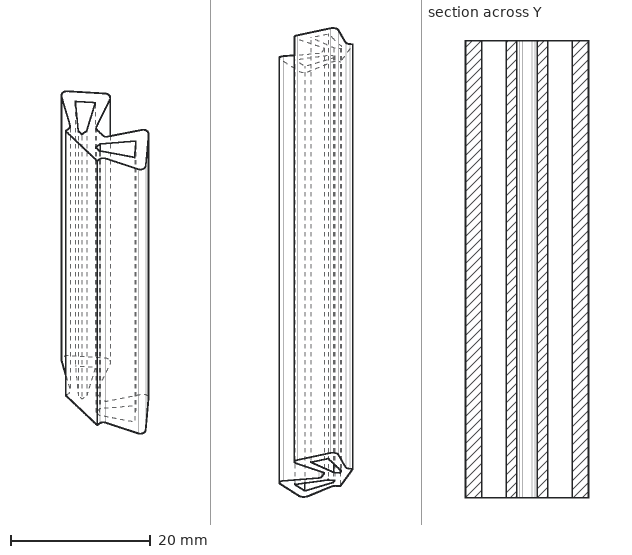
import cadquery as cq
import math

length = 65.5
width = 17.7
foot_width = 6.95
valley_floor = 3.55
tip_radius = 0.8
root_radius = 0.8
valley_radius = 0.5
tip_corner_y = 4.0
flank_angle = 27.2
end_angle = 45.0

cavity_inner_x = 1.5
cavity_floor = 1.4
cavity_root = 2.3
cavity_tip_far = 6.5
cavity_tip_near = 4.45

half_tip_angle = math.radians((flank_angle + end_angle) / 2)
bisector_tilt = math.radians((end_angle - flank_angle) / 2)
tip_overhang = tip_radius * (math.cos(bisector_tilt) / math.sin(half_tip_angle) - 1)
tip_corner_x = width / 2 + tip_overhang

flank_slope = math.tan(math.radians(flank_angle))
foot_top = tip_corner_y - flank_slope * (tip_corner_x - foot_width / 2)
valley_half_width = tip_corner_y - flank_slope * (tip_corner_x - valley_floor)


def mirrored_x(points):
    return [(-x, y) for x, y in reversed(points)]


def round_edges(body, corners, radius):
    """Fillet the lengthwise edges at the given corners on both sides."""
    for x, y in corners + mirrored_x(corners):
        edge = cq.selectors.NearestToPointSelector((x, y, length / 2))
        body = body.edges("|Z").edges(edge).fillet(radius)
    return body


def make_cavity():
    points = [
        (cavity_inner_x, cavity_floor),
        (cavity_root, cavity_floor),
        (cavity_tip_far, cavity_tip_near),
        (cavity_tip_near, cavity_tip_far),
        (cavity_inner_x, cavity_root),
    ]
    return cq.Workplane("XY").polyline(points).close().extrude(length)


foot_corner = (foot_width / 2, 0)
root_corner = (foot_width / 2, foot_top)
outer_tip = (tip_corner_x, tip_corner_y)
upper_tip = (tip_corner_y, tip_corner_x)
valley_corner = (valley_half_width, valley_floor)
right_half = [foot_corner, root_corner, outer_tip, upper_tip, valley_corner]

outline = right_half + mirrored_x(right_half)
body = cq.Workplane("XY").polyline(outline).close().extrude(length)
body = round_edges(body, [outer_tip, upper_tip], tip_radius)
body = round_edges(body, [root_corner], root_radius)
body = round_edges(body, [valley_corner], valley_radius)

cavity = make_cavity()
result = body.cut(cavity).cut(cavity.mirror("YZ"))